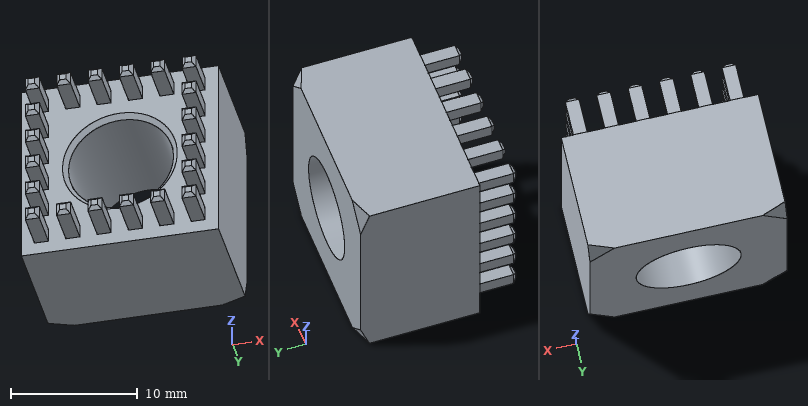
import cadquery as cq

body_side = 16.0
body_depth = 10.0
half_side = body_side / 2

corner_leg = 2.0
corner_depth = 0.75

bore_diameter = 8.5
bore_chamfer = 0.4

pins_per_side = 6
pin_pitch = 2.54
pin_width = 1.13
pin_length = 3.5
tip_chamfer = 0.3


def corner_cutter(x_sign, z_sign):
    """Tetrahedron that removes one back corner of the body."""
    corner = cq.Vector(x_sign * half_side, body_depth, z_sign * half_side)
    along_x = corner - cq.Vector(x_sign * corner_leg, 0, 0)
    along_y = corner - cq.Vector(0, corner_depth, 0)
    along_z = corner - cq.Vector(0, 0, z_sign * corner_leg)
    triangles = [
        (corner, along_x, along_y),
        (corner, along_y, along_z),
        (corner, along_z, along_x),
        (along_x, along_y, along_z),
    ]
    faces = [cq.Face.makeFromWires(cq.Wire.makePolygon(points, close=True)) for points in triangles]
    return cq.Solid.makeSolid(cq.Shell.makeShell(faces)).fix()


def make_body():
    """Block with its bore and cut back corners."""
    body = cq.Workplane("XZ").rect(body_side, body_side).extrude(-body_depth)
    body = body.faces("<Y").workplane().hole(bore_diameter)
    body = body.faces("<Y").edges("%CIRCLE").chamfer(bore_chamfer)
    for x_sign in (-1, 1):
        for z_sign in (-1, 1):
            body = body.cut(cq.Workplane(obj=corner_cutter(x_sign, z_sign)))
    return body


def pin_centres():
    """Grid positions on the outer ring only."""
    last = pins_per_side - 1
    centres = []
    for column in range(pins_per_side):
        for row in range(pins_per_side):
            if column in (0, last) or row in (0, last):
                x = (column - last / 2) * pin_pitch
                z = (row - last / 2) * pin_pitch
                centres.append((x, z))
    return centres


def make_pin():
    """Square pin on the Y axis, pointing to -Y, with its tip chamfered on all four sides."""
    pin = cq.Workplane("XZ").rect(pin_width, pin_width).extrude(pin_length)
    return pin.faces("<Y").edges().chamfer(tip_chamfer)


result = make_body()
pin = make_pin()
for pin_x, pin_z in pin_centres():
    result = result.union(pin.translate((pin_x, 0, pin_z)))